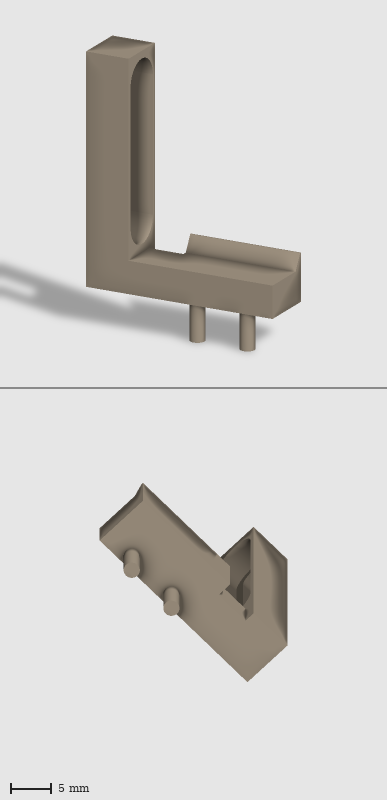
import cadquery as cq
import math

LENGTH = 26.25
DEPTH = 7.5
HEIGHT = 35.93

PIN_DIAMETER = 2.0
PIN_LENGTH = 5.03
PIN_Y = 1.4
FIRST_PIN_X = 14.95
PIN_SPACING = 7.05

COLUMN_WIDTH = 6.0
COLUMN_DEPTH = 6.95
COLUMN_HEIGHT = HEIGHT - PIN_LENGTH

SLOT_WIDTH = 3.52
SLOT_CENTRE_Z = 17.7
SLOT_ARC_SPACING = 18.45
RECESS_WIDTH = 5.9
RECESS_START = 2.5

FOOT_HEIGHT = 4.4
FOOT_DEPTH = 5.5
LIP_START = 10.78
LIP_TOP = 6.45
LIP_CREST_WIDTH = 0.2
LIP_ANGLE = 60.0


def block(x_start, x_end, depth, height):
    """Box with its front face on y = 0 and its base on z = 0."""
    return cq.Workplane("XY", origin=(x_start, 0, 0)).box(x_end - x_start, depth, height, centered=False)


def slot_cutter(width, x_start):
    """Round-ended upright slot running from x_start to the foot side of the column."""
    return (
        cq.Workplane("YZ", origin=(x_start, COLUMN_DEPTH / 2, SLOT_CENTRE_Z))
        .slot2D(SLOT_ARC_SPACING + width, width, 90)
        .extrude(COLUMN_WIDTH - x_start)
    )


def make_column():
    column = block(0, COLUMN_WIDTH, COLUMN_DEPTH, COLUMN_HEIGHT)
    return column.cut(slot_cutter(SLOT_WIDTH, 0)).cut(slot_cutter(RECESS_WIDTH, RECESS_START))


def make_lipped_foot():
    """Wide end of the foot, whose sloped lip rises to a narrow flat crest."""
    crest_edge = DEPTH - LIP_CREST_WIDTH
    slope_run = (LIP_TOP - FOOT_HEIGHT) / math.tan(math.radians(LIP_ANGLE))
    profile = [
        (0, 0),
        (DEPTH, 0),
        (DEPTH, LIP_TOP),
        (crest_edge, LIP_TOP),
        (crest_edge - slope_run, FOOT_HEIGHT),
        (0, FOOT_HEIGHT),
    ]
    return (
        cq.Workplane("YZ", origin=(LIP_START, 0, 0))
        .polyline(profile)
        .close()
        .extrude(LENGTH - LIP_START)
    )


def make_pins():
    return (
        cq.Workplane("XY")
        .pushPoints([(FIRST_PIN_X, PIN_Y), (FIRST_PIN_X + PIN_SPACING, PIN_Y)])
        .circle(PIN_DIAMETER / 2)
        .extrude(-PIN_LENGTH)
    )


narrow_foot = block(COLUMN_WIDTH, LIP_START, FOOT_DEPTH, FOOT_HEIGHT)

result = make_column().union(narrow_foot).union(make_lipped_foot()).union(make_pins())